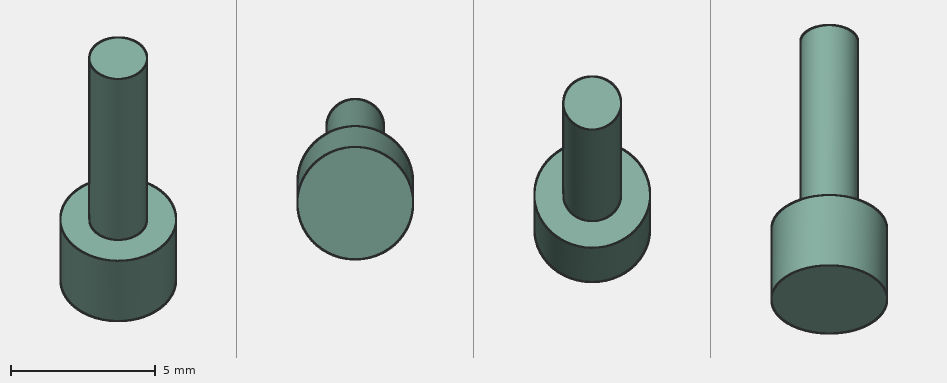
import cadquery as cq

total_height = 11.0
head_diameter = 4.0
head_height = 3.0
shank_diameter = head_diameter / 2
shank_length = total_height - head_height

head = cq.Workplane("XY").circle(head_diameter / 2).extrude(head_height)

result = (
    head.faces(">Z")
    .workplane()
    .circle(shank_diameter / 2)
    .extrude(shank_length)
)